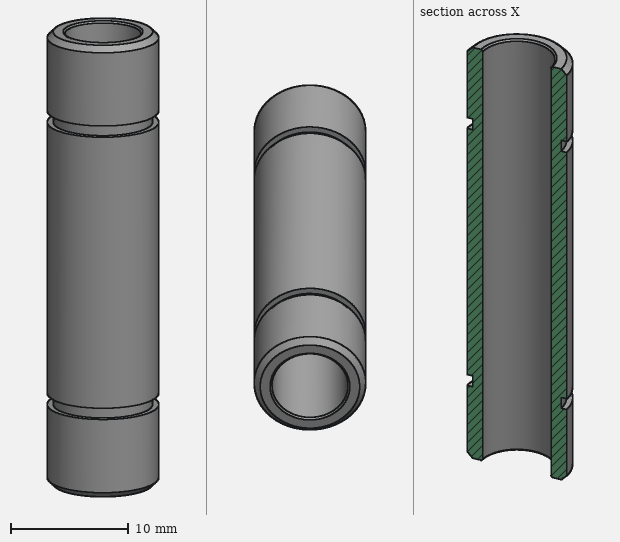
import cadquery as cq

length = 40.0
outer_diameter = 9.5
bore_diameter = 6.5

outer_chamfer = 0.5
bore_chamfer = 0.15

groove_width = 1.0
groove_depth = 0.5
groove_end_offset = 7.0


def tube():
    """Hollow cylinder with both ends chamfered outside and inside."""
    body = cq.Workplane("XY").circle(outer_diameter / 2).extrude(length)
    body = body.faces("<Z or >Z").edges().chamfer(outer_chamfer)
    bore = cq.Workplane("XY").circle(bore_diameter / 2).extrude(length)
    body = body.cut(bore)
    bore_edges = body.faces("<Z or >Z").edges(cq.selectors.RadiusNthSelector(0))
    return bore_edges.chamfer(bore_chamfer)


def groove_ring(bottom):
    """Ring of material removed for a groove starting at height bottom."""
    return (
        cq.Workplane("XY")
        .workplane(offset=bottom)
        .circle(outer_diameter / 2)
        .circle(outer_diameter / 2 - groove_depth)
        .extrude(groove_width)
    )


result = tube()
for groove_bottom in (groove_end_offset, length - groove_end_offset - groove_width):
    result = result.cut(groove_ring(groove_bottom))